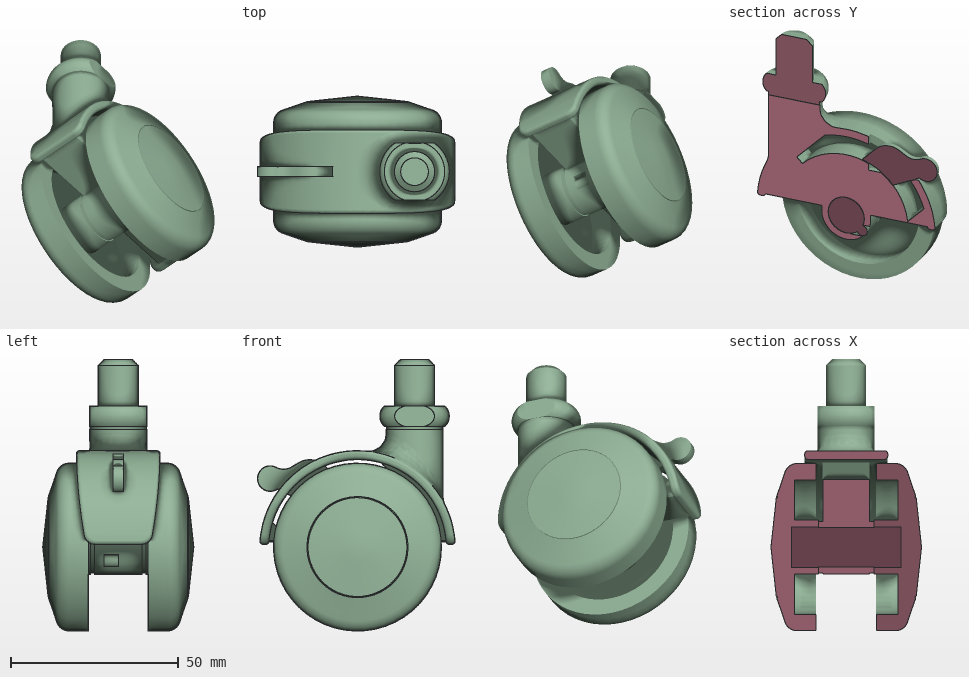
import cadquery as cq
import math


wheel_radius = 25.0
wheel_inner_y = 8.9
shoulder_radius = 4.0
shoulder_start_y = 14.6
face_edge_radius = 22.4
face_edge_y = 18.3
cap_radius = 14.9
cap_edge_y = 20.9
wheel_tip_y = 22.5
groove_width = 0.3
groove_depth = 0.3
recess_radius = 20.0
recess_depth = 6.5

axle_radius = 6.0
axle_half_length = 16.2
hub_radius = 8.1
hub_half_width = 7.05
collar_groove_radius = 7.8
collar_half_width = 8.3

band_centre_z = -0.4
band_outer_radius = 29.2
band_inner_radius = 26.5
band_bottom_z = 0.8
band_top_half_width = 12.5
band_middle_half_width = 11.8
band_middle_z = 16.2
band_bottom_half_width = 9.6
band_corner_radius = 3.2
band_rounding = 1.0
web_bottom_z = 1.5
web_chamfer = 0.5
web_overlap = 0.8
cavity_floor_radius = 20.25
cavity_front_sum = 32.15
cavity_rear_sum = -18.0
neck_fillet = 5.0
select_margin = 0.8
slot_start_x = -23.9
slot_end_x = -7.4
slot_bottom_z = 16.6
window_width = 4.2
window_centre_y = 2.1
window_middle_z = -4.05
lug_radius = 1.8
lug_x = -5.2

stem_x = 17.0
stem_radius = 6.0
stem_chamfer = 1.9
stem_top_z = 81 - wheel_radius
nut_top_z = 42.0
nut_bottom_z = 36.0
nut_radius = 10.4
nut_face_radius = 9.0
flats_width = 17.0
neck_radius = 8.5
neck_top_z = 35.0
collar_radius = 8.4

lever_width = 3.0
knob_x = -26.0
knob_z = 20.4
knob_radius = 3.8
knob_upper_angle = 68
knob_lower_angle = -56
lever_neck_middle = (-21.8, 23.25)
lever_neck_end = (-19.35, 24.05)
hump_start = (-17.4, 25.2)
hump_end = (-9.9, 24.4)
lever_upper_tip = (-3.4, 17.9)
lever_lower_tip = (-12.5, 11.7)


def disc_along_y(radius, start_y, end_y, centre_z=0):
    """Cylinder along Y, around the wheel axis unless it is moved up or down."""
    return cq.Workplane("XZ", origin=(0, start_y, centre_z)).circle(radius).extrude(start_y - end_y)


def block(start, end):
    """Box between two opposite corners."""
    size = [b - a for a, b in zip(start, end)]
    return cq.Workplane().box(*size, centered=False).translate(start)


def make_wheel(side):
    """Wheel on the +Y (side = 1) or -Y (side = -1) end of the axle."""
    shoulder_angle = math.asin((face_edge_y - shoulder_start_y) / shoulder_radius) / 2
    shoulder_middle = (
        wheel_radius - shoulder_radius * (1 - math.cos(shoulder_angle)),
        shoulder_start_y + shoulder_radius * math.sin(shoulder_angle),
    )
    recess_floor_y = wheel_inner_y + recess_depth
    wheel = (
        cq.Workplane("XY")
        .moveTo(0, collar_half_width)
        .lineTo(hub_radius, collar_half_width)
        .lineTo(hub_radius, recess_floor_y)
        .lineTo(recess_radius, recess_floor_y)
        .lineTo(recess_radius, wheel_inner_y)
        .lineTo(wheel_radius, wheel_inner_y)
        .lineTo(wheel_radius, shoulder_start_y)
        .threePointArc(shoulder_middle, (face_edge_radius, face_edge_y))
        .lineTo(cap_radius, cap_edge_y)
        .lineTo(0, wheel_tip_y)
        .close()
        .revolve(360, (0, 0, 0), (0, 1, 0))
    )
    groove_floor_y = cap_edge_y - groove_depth
    groove = disc_along_y(cap_radius + groove_width / 2, groove_floor_y, wheel_tip_y).cut(
        disc_along_y(cap_radius - groove_width / 2, groove_floor_y, wheel_tip_y)
    )
    wheel = wheel.cut(groove).cut(disc_along_y(axle_radius, 0, axle_half_length))
    return wheel if side > 0 else wheel.mirror("XZ")


def make_axle():
    """Axle for both wheels, with a rounded lug that shows in the hub window."""
    lug = disc_along_y(
        lug_radius,
        window_centre_y - window_width / 2,
        window_centre_y + window_width / 2,
        window_middle_z,
    )
    axle = disc_along_y(axle_radius, -axle_half_length, axle_half_length)
    return axle.union(lug.translate((lug_x, 0, 0)))


def make_stem():
    """Stud, nut with a rounded rim and two flats, and the collar under it."""
    nut_middle_z = (nut_top_z + nut_bottom_z) / 2
    stem = (
        cq.Workplane("XZ")
        .moveTo(0, neck_top_z)
        .lineTo(collar_radius, neck_top_z)
        .lineTo(collar_radius, nut_bottom_z)
        .lineTo(nut_face_radius, nut_bottom_z)
        .threePointArc((nut_radius, nut_middle_z), (nut_face_radius, nut_top_z))
        .lineTo(stem_radius, nut_top_z)
        .lineTo(stem_radius, stem_top_z - stem_chamfer)
        .lineTo(stem_radius - stem_chamfer, stem_top_z)
        .lineTo(0, stem_top_z)
        .close()
        .revolve(360, (0, 0, 0), (0, 1, 0))
    )
    between_flats = block(
        (-nut_radius, -flats_width / 2, neck_top_z), (nut_radius, flats_width / 2, stem_top_z)
    )
    return stem.intersect(between_flats).translate((stem_x, 0, 0))


def knob_point(degrees):
    """Point on the rim of the lever knob."""
    angle = math.radians(degrees)
    return (knob_x + knob_radius * math.cos(angle), knob_z + knob_radius * math.sin(angle))


def make_lever():
    """Flat lever with a round knob, resting on the floor of the housing cavity."""
    lever = (
        cq.Workplane("XZ", origin=(0, lever_width / 2, 0))
        .moveTo(*knob_point(knob_lower_angle))
        .threePointArc(knob_point(180), knob_point(knob_upper_angle))
        .threePointArc(lever_neck_middle, lever_neck_end)
        .lineTo(*hump_start)
        .tangentArcPoint(hump_end, relative=False)
        .lineTo(*lever_upper_tip)
        .lineTo(*lever_lower_tip)
        .close()
        .extrude(lever_width)
    )
    return lever.cut(disc_along_y(cavity_floor_radius, -lever_width, lever_width))


def make_band():
    """Mudguard arch whose side edges taper towards its rounded lower corners."""
    sides = (-band_top_half_width, band_top_half_width)
    arch = disc_along_y(band_outer_radius, *sides, band_centre_z).cut(
        disc_along_y(band_inner_radius, *sides, band_centre_z)
    )
    outline = (
        cq.Workplane("YZ", origin=(-band_outer_radius, 0, 0))
        .moveTo(-band_bottom_half_width, band_bottom_z)
        .lineTo(band_bottom_half_width, band_bottom_z)
        .threePointArc(
            (band_middle_half_width, band_middle_z), (band_top_half_width, band_outer_radius)
        )
        .lineTo(-band_top_half_width, band_outer_radius)
        .threePointArc(
            (-band_middle_half_width, band_middle_z), (-band_bottom_half_width, band_bottom_z)
        )
        .close()
        .extrude(2 * band_outer_radius)
        .edges("|X and <Z")
        .fillet(band_corner_radius)
    )
    return arch.intersect(outline).edges("not |X").fillet(band_rounding)


def add_neck(band):
    """Stem socket, blended into the top of the band."""
    neck = (
        cq.Workplane("XY", origin=(stem_x, 0, 0))
        .circle(neck_radius)
        .extrude(neck_top_z)
        .cut(disc_along_y(band_inner_radius, -neck_radius, neck_radius, band_centre_z))
    )
    below_neck_top = cq.selectors.BoxSelector(
        (stem_x - neck_radius - select_margin, -neck_radius - select_margin, 0),
        (stem_x + neck_radius + select_margin, neck_radius + select_margin, neck_top_z - select_margin),
        boundingbox=True,
    )
    joint = band.union(neck).edges(below_neck_top).edges(">Z")
    return joint.fillet(neck_fillet)


def lever_cavity():
    """Open space around the lever, between the web below and the band above."""
    reach = 2 * band_outer_radius
    sector = (
        cq.Workplane("XZ", origin=(0, hub_half_width, 0))
        .moveTo(cavity_rear_sum, 0)
        .lineTo(0, 0)
        .lineTo(cavity_front_sum / 2, cavity_front_sum / 2)
        .lineTo(cavity_front_sum - reach, reach)
        .lineTo(cavity_rear_sum - reach, reach)
        .close()
        .extrude(2 * hub_half_width)
    )
    return sector.cut(disc_along_y(cavity_floor_radius, -hub_half_width, hub_half_width))


def make_web():
    """Central wall between the wheels, cut back above to make room for the lever."""
    upper_half = block(
        (-band_outer_radius, -hub_half_width, web_bottom_z),
        (band_outer_radius, hub_half_width, band_outer_radius),
    )
    disc = disc_along_y(
        band_inner_radius + web_overlap, -hub_half_width, hub_half_width, band_centre_z
    )
    web = disc.intersect(upper_half).edges("|X and <Z").chamfer(web_chamfer)
    return web.cut(lever_cavity())


def make_housing():
    """Mudguard, stem socket, web and axle hub in one piece."""
    lever_slot = block(
        (slot_start_x, -lever_width / 2, slot_bottom_z),
        (slot_end_x, lever_width / 2, band_outer_radius),
    )
    window = block(
        (-hub_radius, window_centre_y - window_width / 2, window_middle_z - lug_radius),
        (0, window_centre_y + window_width / 2, window_middle_z + lug_radius),
    )
    hub = disc_along_y(hub_radius, -hub_half_width, hub_half_width)
    hub_ends = disc_along_y(collar_groove_radius, -collar_half_width, collar_half_width)
    return (
        add_neck(make_band())
        .union(make_web())
        .union(hub)
        .union(hub_ends)
        .cut(lever_slot)
        .cut(make_lever())
        .cut(window)
        .cut(disc_along_y(axle_radius, -collar_half_width, collar_half_width))
    )


wheels = [make_wheel(side) for side in (1, -1)]
axle = make_axle()
housing = make_housing()
stem = make_stem()
lever = make_lever()

result = cq.Compound.makeCompound(
    [wheel.val() for wheel in wheels] + [axle.val(), housing.val(), stem.val(), lever.val()]
)